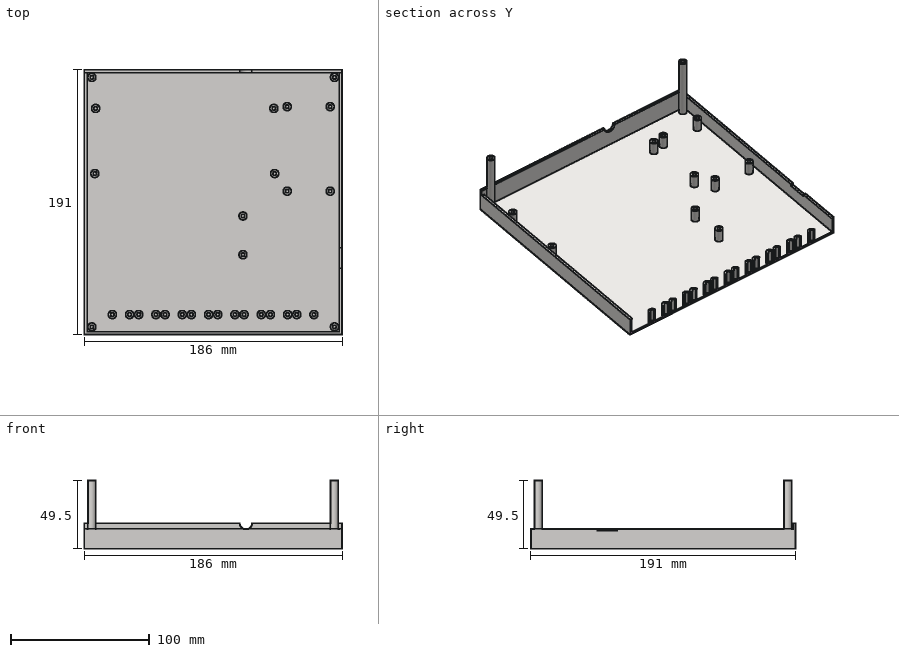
import cadquery as cq

TRAY_X = 186.0
TRAY_Y = 191.0
WALL = 2.0
FLOOR = 2.0
SIDE_HEIGHT = 14.5
BACK_HEIGHT = 18.6

POST_DIAMETER = 5.8
SCREW_DIAMETER = 2.6
CORNER_POST_TOP = 49.5
CORNER_INSET = 5.5
BOARD_POST_TOP = 12.0

ROW_COUNT = 8
ROW_PITCH = 19.0
ROW_HOLE_SPACING = 12.4
ROW_Y = 14.4

REAR_BOARD_CENTRE_X = 72.5
REAR_BOARD_REAR_SPACING = 128.6
REAR_BOARD_FRONT_SPACING = 129.7
REAR_BOARD_REAR_Y = 163.1
REAR_BOARD_FRONT_Y = 116.1

SIDE_BOARD_X = (146.4, 177.4)
SIDE_BOARD_Y = (103.4, 164.4)

CENTRE_BOARD_X = 114.5
CENTRE_BOARD_Y = (57.6, 85.5)

CABLE_NOTCH_X = 116.6
CABLE_NOTCH_RADIUS = 4.4
SIDE_NOTCH_Y = 55.2
SIDE_NOTCH_LENGTH = 14.5
SIDE_NOTCH_DEPTH = 1.5


def make_tray():
    """Open box whose back wall stands higher than the other three."""
    tray = cq.Workplane("XY").box(TRAY_X, TRAY_Y, SIDE_HEIGHT, centered=False)
    cavity = (
        cq.Workplane("XY")
        .box(TRAY_X - 2 * WALL, TRAY_Y - 2 * WALL, SIDE_HEIGHT, centered=False)
        .translate((WALL, WALL, FLOOR))
    )
    back_wall = (
        cq.Workplane("XY")
        .box(TRAY_X, WALL, BACK_HEIGHT, centered=False)
        .translate((0, TRAY_Y - WALL, 0))
    )
    return tray.cut(cavity).union(back_wall)


def cable_notch():
    """Half-round notch through the top edge of the back wall."""
    return (
        cq.Workplane("XZ", origin=(CABLE_NOTCH_X, TRAY_Y, BACK_HEIGHT))
        .circle(CABLE_NOTCH_RADIUS)
        .extrude(WALL)
    )


def side_notch():
    """Shallow rectangular notch in the top edge of the +X wall."""
    return (
        cq.Workplane("XY")
        .box(WALL, SIDE_NOTCH_LENGTH, SIDE_NOTCH_DEPTH, centered=(False, True, False))
        .translate((TRAY_X - WALL, SIDE_NOTCH_Y, SIDE_HEIGHT - SIDE_NOTCH_DEPTH))
    )


def cylinders(centres, diameter, bottom, top):
    """Upright cylinders of one diameter at the given centres."""
    return (
        cq.Workplane("XY", origin=(0, 0, bottom))
        .pushPoints(centres)
        .circle(diameter / 2)
        .extrude(top - bottom)
    )


def add_standoffs(body, centres, top):
    """Add posts rooted in the floor, each with a screw hole down to the floor surface."""
    posts = cylinders(centres, POST_DIAMETER, 0, top)
    holes = cylinders(centres, SCREW_DIAMETER, FLOOR, top)
    return body.union(posts).cut(holes)


def corner_centres():
    """One centre near each corner of the tray."""
    return [
        (x, y)
        for x in (CORNER_INSET, TRAY_X - CORNER_INSET)
        for y in (CORNER_INSET, TRAY_Y - CORNER_INSET)
    ]


def row_centres():
    """Two centres per board, with the row centred across the tray."""
    centres = []
    for index in range(ROW_COUNT):
        board_x = TRAY_X / 2 + (index - (ROW_COUNT - 1) / 2) * ROW_PITCH
        centres.append((board_x - ROW_HOLE_SPACING / 2, ROW_Y))
        centres.append((board_x + ROW_HOLE_SPACING / 2, ROW_Y))
    return centres


def rear_board_centres():
    """Two pairs of centres, both symmetric about the board's centre line."""
    pairs = (
        (REAR_BOARD_REAR_SPACING, REAR_BOARD_REAR_Y),
        (REAR_BOARD_FRONT_SPACING, REAR_BOARD_FRONT_Y),
    )
    return [
        (REAR_BOARD_CENTRE_X + side * spacing / 2, y)
        for spacing, y in pairs
        for side in (-1, 1)
    ]


def side_board_centres():
    """Four centres on a rectangle."""
    return [(x, y) for x in SIDE_BOARD_X for y in SIDE_BOARD_Y]


def centre_board_centres():
    """Two centres in line along Y."""
    return [(CENTRE_BOARD_X, y) for y in CENTRE_BOARD_Y]


board_centres = row_centres() + rear_board_centres() + side_board_centres() + centre_board_centres()

result = make_tray().cut(cable_notch()).cut(side_notch())
result = add_standoffs(result, corner_centres(), CORNER_POST_TOP)
result = add_standoffs(result, board_centres, BOARD_POST_TOP)